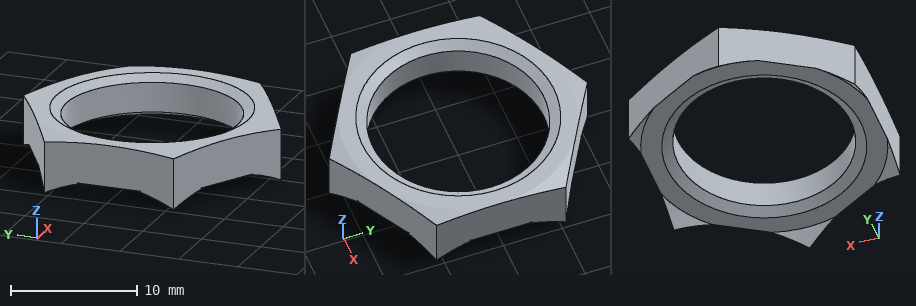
import cadquery as cq
import math

across_corners = 21.95
height = 4.7
hole_radius = 7.25
countersink_radius = 8.12
countersink_angle = 30.0
top_chamfer_angle = 15.0
recess_depth = 1.18

corner_radius = across_corners / 2
flat_radius = corner_radius * math.cos(math.radians(30))
top_chamfer_drop = (corner_radius - flat_radius) * math.tan(math.radians(top_chamfer_angle))
countersink_depth = (countersink_radius - hole_radius) * math.tan(math.radians(countersink_angle))
recess_floor_radius = corner_radius - recess_depth


def hexagonal_prism():
    """Hexagon with two corners on the Y axis."""
    corners = [
        (corner_radius * math.sin(math.radians(angle)), corner_radius * math.cos(math.radians(angle)))
        for angle in range(0, 360, 60)
    ]
    return cq.Workplane("XY").polyline(corners).close().extrude(height)


def turned_ring():
    """Ring with the bore, both countersinks, the top chamfer and the conical recess underneath."""
    profile = [
        (hole_radius, recess_depth + countersink_depth),
        (countersink_radius, recess_depth),
        (recess_floor_radius, recess_depth),
        (corner_radius, 0),
        (corner_radius, height - top_chamfer_drop),
        (flat_radius, height),
        (countersink_radius, height),
        (hole_radius, height - countersink_depth),
    ]
    return cq.Workplane("XZ").polyline(profile).close().revolve(360, (0, 0, 0), (0, 1, 0))


result = hexagonal_prism().intersect(turned_ring())